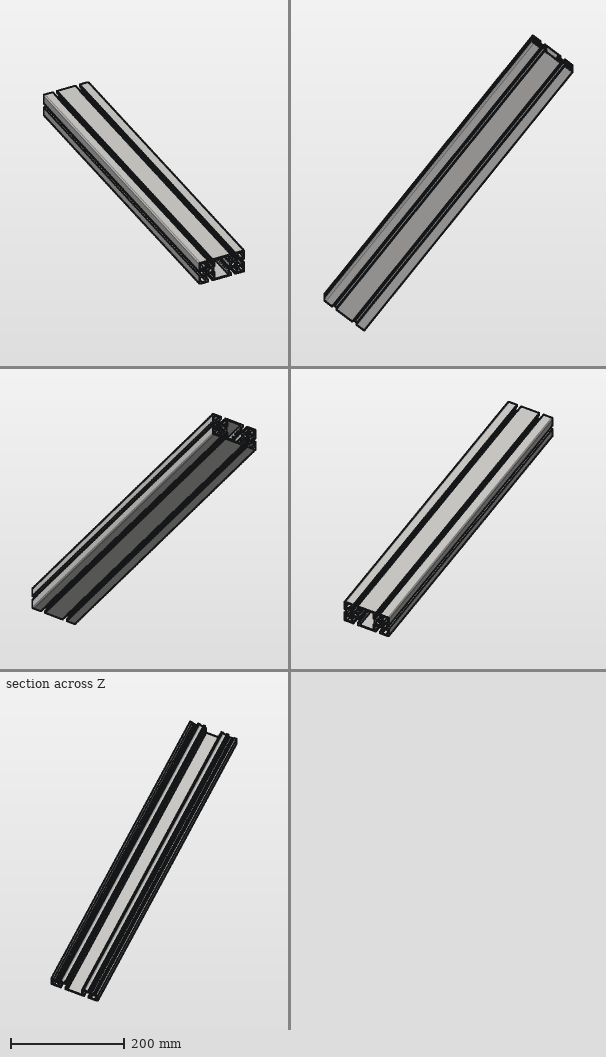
import cadquery as cq

length = 600.0
module = 45.0
skin = 2.5
wall = 2.0
corner_radius = 2.5

slot_mouth = 8.5
slot_width = 14.5
slot_floor_width = 11.0
slot_depth = 15.5
lip_depth = 4.0
lip_root_depth = 7.0
slot_taper_depth = 13.0

groove_width = 2.0
groove_depth = 0.5

bore_diameter = 8.0
edge_bevel = 3.5
core_bevel = 3.5
neck_relief = 2.0

half_module = module / 2
module_centers = (-half_module, half_module)
core_half = half_module - slot_depth


def prism(points):
    """Full-length prism from a closed YZ outline."""
    return cq.Workplane("YZ").polyline(points).close().extrude(length)


def slot():
    """T-slot opening at +Z, centred on a module axis."""
    half_outline = [
        (slot_mouth / 2, half_module),
        (slot_mouth / 2, half_module - lip_depth),
        (slot_width / 2, half_module - lip_root_depth),
        (slot_width / 2, half_module - slot_taper_depth),
        (slot_floor_width / 2, core_half),
        (groove_width / 2, core_half),
    ]
    mirrored = [(-y, z) for y, z in reversed(half_outline)]
    return prism(half_outline + [(0, core_half - groove_depth)] + mirrored)


def corner_chamber():
    """Closed chamber in the outer corner at +Y +Z, bevelled towards the outer edge and the core."""
    near = slot_width / 2 + wall
    far = half_module - skin
    outline = [
        (near + core_bevel, near),
        (far, near),
        (far, far - edge_bevel),
        (far - edge_bevel, far),
        (near, far),
        (near, near + core_bevel),
    ]
    return prism(outline).translate((0, half_module, 0))


def central_chamber():
    """Large chamber between the two modules, wider beside the cores."""
    top = half_module - skin
    narrow = half_module - slot_width / 2 - wall
    wide = half_module - core_half
    quarter = [
        (narrow, top),
        (narrow, core_half + neck_relief / 2),
        (wide, core_half - neck_relief / 2),
    ]
    right = quarter + [(y, -z) for y, z in reversed(quarter)]
    left = [(-y, -z) for y, z in right]
    return prism(right + left)


body = cq.Workplane("YZ").rect(2 * module, module).extrude(length)
body = body.edges("|X").fillet(corner_radius)

for center in module_centers:
    outward = 90 if center < 0 else -90
    for angle in (0, 180, outward):
        body = body.cut(slot().rotate((0, 0, 0), (1, 0, 0), angle).translate((0, center, 0)))
    bore = cq.Workplane("YZ").center(center, 0).circle(bore_diameter / 2).extrude(length)
    body = body.cut(bore)

chamber = corner_chamber()
for upper in (chamber, chamber.mirror("XZ")):
    body = body.cut(upper).cut(upper.mirror("XY"))

result = body.cut(central_chamber())